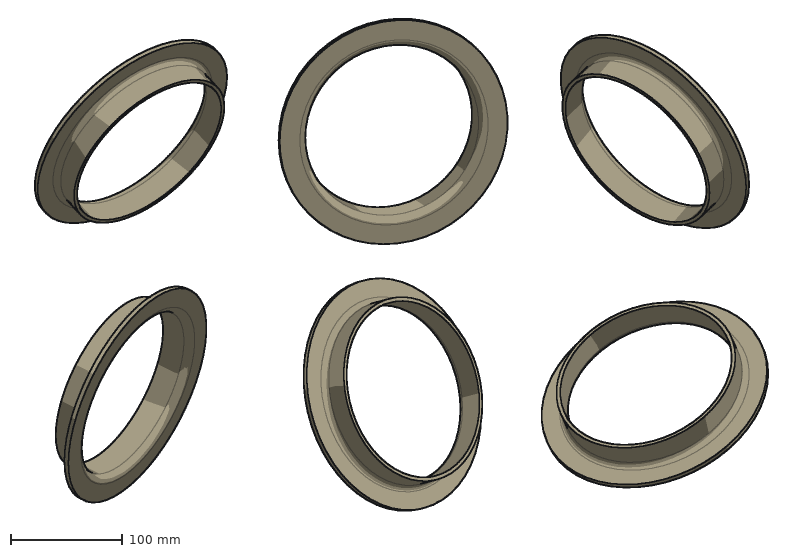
import cadquery as cq

length = 30.0
flange_diameter = 212.0
collar_diameter = 168.3
bore_diameter = 161.1
flange_thickness = 4.5
outer_bend_radius = 5.0
mouth_radius = 7.0

flange_radius = flange_diameter / 2
collar_radius = collar_diameter / 2
bore_radius = bore_diameter / 2


def flanged_collar():
    """Revolve the wall section (X along the axis, Y radial) about the X axis."""
    section = (
        cq.Workplane("XY")
        .moveTo(0, bore_radius + mouth_radius)
        .lineTo(0, flange_radius)
        .lineTo(flange_thickness, flange_radius)
        .lineTo(flange_thickness, collar_radius + outer_bend_radius)
        .radiusArc((flange_thickness + outer_bend_radius, collar_radius), -outer_bend_radius)
        .lineTo(length, collar_radius)
        .lineTo(length, bore_radius)
        .lineTo(mouth_radius, bore_radius)
        .radiusArc((0, bore_radius + mouth_radius), mouth_radius)
        .close()
    )
    ring = section.revolve(360, (0, 0, 0), (1, 0, 0))
    return ring.translate((-length / 2, 0, 0))


result = flanged_collar()